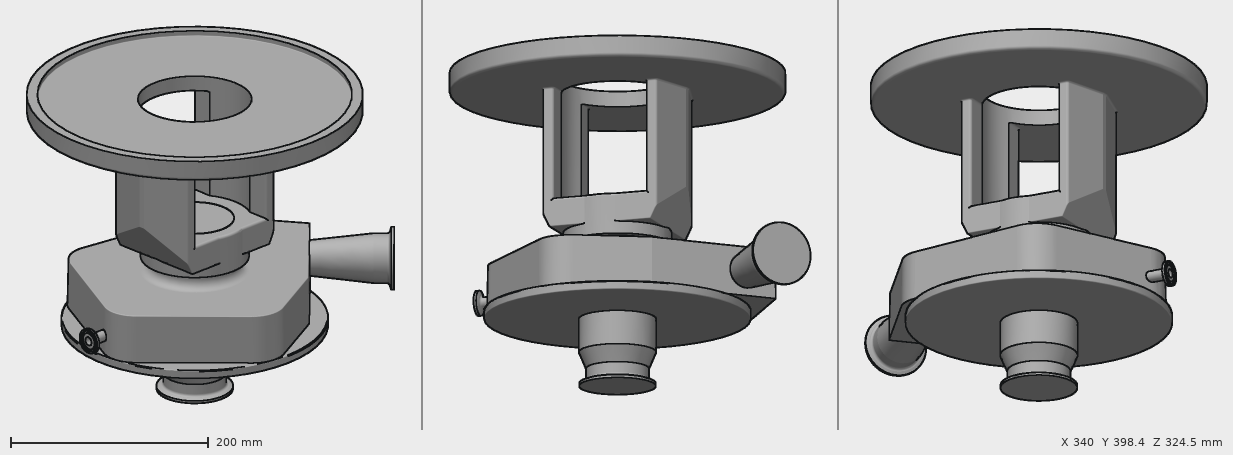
import cadquery as cq
import math

TOTAL_HEIGHT = 324.5
BASE_BOTTOM = 69.5
BASE_TOP = 78.3
HOUSING_TOP = 129.3
COLLAR_BOTTOM = 146.0
YOKE_BOTTOM = 158.5
YOKE_FLOOR = 188.0
DISC_BOTTOM = 303.0

DISC_RADIUS = 170.0
DISH_RADIUS = 159.0
DISH_DEPTH = 5.5
DISH_FILLET = 0.8
DISC_BORE_RADIUS = 57.5
DISC_EDGE_FILLET = 3.5

YOKE_HALF_WIDTH = 52.5
YOKE_SHOULDER_Y = 61.0
YOKE_PEAK_Y = 75.2
YOKE_PEAK_HALF_WIDTH = 3.3
YOKE_EDGE_FILLET = 3.0
YOKE_LOWER_FILLET = 1.0
LEG_ROOT_FILLET = 2.0
WINDOW_HALF_WIDTH = 49.8
WINDOW_FILLET = 3.0
SLOPE_TOP = 200.0
SLOPE_RISE_PER_RUN = 2.0
FLOOR_RECESS_RADIUS = 39.8
FLOOR_RECESS_DEPTH = 0.5
SELECTION_MARGIN = 1.0

COLLAR_RADIUS = 55.0
NECK_RADIUS = 45.0
NECK_FLARE = 10.0

BASE_RADIUS = 135.0
BASE_EDGE_FILLET = 1.0
HOUSING_INRADIUS = 114.0
HOUSING_CORNER_RADIUS = 34.0
HOUSING_DRAFT = 1.0
HOUSING_EDGE_FILLET = 1.0
PENTAGON_STEP = 72.0
FIRST_SIDE_ANGLE = 27.0
OUTLET_ANGLE = 45.0
OUTLET_FACE_DISTANCE = 115.0
OUTLET_WALL_ANGLE = 125.0
OUTLET_WALL_DISTANCE = 140.2

PIPE_RADIUS = 39.2
PIPE_CONE_TOP = 35.0
PIPE_CONE_BOTTOM = 18.0
PIPE_END_RADIUS = 32.0
PIPE_FLANGE_RADIUS = 38.9

NOZZLE_OFFSET = 90.3
NOZZLE_HEIGHT = 104.5
NOZZLE_START_RADIUS = 18.2
NOZZLE_END_RADIUS = 25.4
NOZZLE_CONE_END = 180.0
NOZZLE_FLANGE_RADIUS = 32.0
NOZZLE_TIP = 200.7

DRAIN_HEIGHT = 97.8
DRAIN_TIP = 150.5
DRAIN_START = 110.0
DRAIN_RADIUS = 5.8
DRAIN_FLANGE_RADIUS = 12.9
DRAIN_GROOVE_INNER = 8.7
DRAIN_GROOVE_OUTER = 11.0
DRAIN_GROOVE_DEPTH = 1.0
DRAIN_BORE_RADIUS = 4.4

FLANGE_RIM = 2.9
FLANGE_BACK_ANGLE = 20.0
FLANGE_FILLET = 3.0


def cylinder(radius, bottom, top):
    return cq.Workplane("XY").workplane(offset=bottom).circle(radius).extrude(top - bottom)


def yoke_edges_between(bottom, top):
    """Selector for the edges centred inside the yoke's footprint between two heights."""
    reach_x = YOKE_HALF_WIDTH + SELECTION_MARGIN
    reach_y = YOKE_PEAK_Y + SELECTION_MARGIN
    return cq.selectors.BoxSelector((-reach_x, -reach_y, bottom), (reach_x, reach_y, top))


def side_crossing(first, second):
    """Point where two sides, each a (normal angle, distance from the axis) pair, meet."""
    a1, d1 = math.radians(first[0]), first[1]
    a2, d2 = math.radians(second[0]), second[1]
    det = math.sin(a2 - a1)
    x = (d1 * math.sin(a2) - d2 * math.sin(a1)) / det
    y = (d2 * math.cos(a1) - d1 * math.cos(a2)) / det
    return x, y


def make_disc():
    disc = cylinder(DISC_RADIUS, DISC_BOTTOM, TOTAL_HEIGHT).faces("<Z").edges().fillet(DISC_EDGE_FILLET)
    dish = cylinder(DISH_RADIUS, TOTAL_HEIGHT - DISH_DEPTH, TOTAL_HEIGHT)
    return disc.cut(dish.faces("<Z").edges().fillet(DISH_FILLET))


def make_yoke_block():
    """Solid yoke with pointed sides and sloping lower ends."""
    half = [
        (YOKE_HALF_WIDTH, YOKE_SHOULDER_Y),
        (YOKE_PEAK_HALF_WIDTH, YOKE_PEAK_Y),
    ]
    upper = half + [(-x, y) for x, y in reversed(half)]
    lower = [(-x, -y) for x, y in upper]
    yoke = (
        cq.Workplane("XY").workplane(offset=YOKE_BOTTOM)
        .polyline(upper + lower).close().extrude(DISC_BOTTOM - YOKE_BOTTOM)
    )
    slope_run = (SLOPE_TOP - YOKE_BOTTOM) / SLOPE_RISE_PER_RUN
    for side in (1, -1):
        wedge = (
            cq.Workplane("YZ")
            .polyline([
                (side * YOKE_PEAK_Y, SLOPE_TOP),
                (side * YOKE_PEAK_Y, YOKE_BOTTOM),
                (side * (YOKE_PEAK_Y - slope_run), YOKE_BOTTOM),
            ]).close().extrude(YOKE_HALF_WIDTH, both=True)
        )
        yoke = yoke.cut(wedge)
    leg_middle = (SLOPE_TOP + DISC_BOTTOM) / 2
    for side_x in (1, -1):
        for side_y in (1, -1):
            shoulder = (side_x * YOKE_HALF_WIDTH, side_y * YOKE_SHOULDER_Y, leg_middle)
            yoke = yoke.edges(cq.selectors.NearestToPointSelector(shoulder)).fillet(YOKE_EDGE_FILLET)
    lower_edges = yoke_edges_between(YOKE_BOTTOM - SELECTION_MARGIN, SLOPE_TOP + SELECTION_MARGIN)
    return yoke.edges(lower_edges).fillet(YOKE_LOWER_FILLET)


def make_yoke():
    """Yoke block opened by a window along X, with rounded window edges."""
    window = (
        cq.Workplane("XY").workplane(offset=YOKE_FLOOR)
        .rect(4 * YOKE_HALF_WIDTH, 2 * WINDOW_HALF_WIDTH).extrude(DISC_BOTTOM - YOKE_FLOOR)
    )
    yoke = make_yoke_block().cut(window)
    reach_y = WINDOW_HALF_WIDTH + SELECTION_MARGIN
    for side in (1, -1):
        face_x = side * YOKE_HALF_WIDTH
        rim = cq.selectors.BoxSelector(
            (face_x - SELECTION_MARGIN, -reach_y, YOKE_FLOOR - SELECTION_MARGIN),
            (face_x + SELECTION_MARGIN, reach_y, DISC_BOTTOM - SELECTION_MARGIN),
        )
        yoke = yoke.edges(rim).fillet(WINDOW_FILLET)
    return yoke


def make_upper_frame():
    """Disc on its two legs, blended at the roots and bored down to the yoke floor."""
    roots = yoke_edges_between(DISC_BOTTOM - 0.1 * SELECTION_MARGIN, DISC_BOTTOM + 0.1 * SELECTION_MARGIN)
    frame = make_yoke().union(make_disc()).edges(roots).fillet(LEG_ROOT_FILLET)
    return frame.cut(cylinder(DISC_BORE_RADIUS, YOKE_FLOOR, TOTAL_HEIGHT))


def make_collar_and_neck():
    flare_top = HOUSING_TOP + NECK_FLARE
    bend = NECK_FLARE * (1 - math.sqrt(0.5))
    return (
        cq.Workplane("XZ")
        .moveTo(0, HOUSING_TOP)
        .lineTo(NECK_RADIUS + NECK_FLARE, HOUSING_TOP)
        .threePointArc((NECK_RADIUS + bend, HOUSING_TOP + bend), (NECK_RADIUS, flare_top))
        .lineTo(NECK_RADIUS, COLLAR_BOTTOM)
        .lineTo(COLLAR_RADIUS, COLLAR_BOTTOM)
        .lineTo(COLLAR_RADIUS, YOKE_FLOOR - WINDOW_FILLET)
        .radiusArc((COLLAR_RADIUS - WINDOW_FILLET, YOKE_FLOOR), -WINDOW_FILLET)
        .lineTo(0, YOKE_FLOOR)
        .close().revolve(360, (0, 0, 0), (0, 1, 0))
    )


def make_housing():
    """Drafted pentagon whose one corner is drawn out to carry the outlet."""
    height = HOUSING_TOP - BASE_TOP
    spread = height * math.tan(math.radians(HOUSING_DRAFT))
    inner = HOUSING_INRADIUS + spread
    sides = [
        (FIRST_SIDE_ANGLE, inner),
        (OUTLET_ANGLE, OUTLET_FACE_DISTANCE + spread),
        (OUTLET_WALL_ANGLE, OUTLET_WALL_DISTANCE + spread),
        (FIRST_SIDE_ANGLE + 2 * PENTAGON_STEP, inner),
        (FIRST_SIDE_ANGLE + 3 * PENTAGON_STEP, inner),
        (FIRST_SIDE_ANGLE + 4 * PENTAGON_STEP, inner),
    ]
    corners = [side_crossing(sides[i], sides[(i + 1) % len(sides)]) for i in range(len(sides))]
    housing = (
        cq.Workplane("XY").workplane(offset=BASE_TOP)
        .polyline(corners).close().extrude(height, taper=HOUSING_DRAFT)
    )
    middle = (HOUSING_TOP + BASE_TOP) / 2
    for x, y in corners[2:]:
        corner = cq.selectors.NearestToPointSelector((x, y, middle))
        housing = housing.edges(corner).fillet(HOUSING_CORNER_RADIUS)
    return housing.faces(">Z").edges().fillet(HOUSING_EDGE_FILLET)


def make_base_plate():
    return cylinder(BASE_RADIUS, BASE_BOTTOM, BASE_TOP).faces("<Z or >Z").edges().fillet(BASE_EDGE_FILLET)


def clamp_flange(flange_radius, tube_radius):
    """Clamp flange facing -Z on Z = 0, with a conical back blending into its tube."""
    foot_radius = tube_radius + FLANGE_FILLET
    back_rise = (flange_radius - foot_radius) * math.tan(math.radians(FLANGE_BACK_ANGLE))
    foot = FLANGE_RIM + back_rise
    bend = FLANGE_FILLET * (1 - math.sqrt(0.5))
    return (
        cq.Workplane("XZ")
        .lineTo(flange_radius, 0)
        .lineTo(flange_radius, FLANGE_RIM)
        .lineTo(foot_radius, foot)
        .threePointArc((tube_radius + bend, foot + bend), (tube_radius, foot + FLANGE_FILLET))
        .lineTo(0, foot + FLANGE_FILLET)
        .close().revolve(360, (0, 0, 0), (0, 1, 0))
    )


def make_bottom_pipe():
    pipe = (
        cq.Workplane("XZ")
        .polyline([
            (0, 0),
            (PIPE_END_RADIUS, 0),
            (PIPE_END_RADIUS, PIPE_CONE_BOTTOM),
            (PIPE_RADIUS, PIPE_CONE_TOP),
            (PIPE_RADIUS, BASE_BOTTOM),
            (0, BASE_BOTTOM),
        ]).close().revolve(360, (0, 0, 0), (0, 1, 0))
    )
    return pipe.union(clamp_flange(PIPE_FLANGE_RADIUS, PIPE_END_RADIUS))


def make_nozzle():
    """Nozzle built standing on its clamp flange, then laid down along the outlet direction."""
    root = NOZZLE_TIP - OUTLET_FACE_DISTANCE
    nozzle = (
        cq.Workplane("XZ")
        .polyline([
            (0, 0),
            (NOZZLE_END_RADIUS, 0),
            (NOZZLE_END_RADIUS, NOZZLE_TIP - NOZZLE_CONE_END),
            (NOZZLE_START_RADIUS, root),
            (0, root),
        ]).close().revolve(360, (0, 0, 0), (0, 1, 0))
        .union(clamp_flange(NOZZLE_FLANGE_RADIUS, NOZZLE_END_RADIUS))
    )
    return (
        nozzle.rotate((0, 0, 0), (0, 1, 0), -90)
        .translate((NOZZLE_TIP, NOZZLE_OFFSET, NOZZLE_HEIGHT))
        .rotate((0, 0, 0), (0, 0, 1), OUTLET_ANGLE)
    )


def make_drain():
    """Hollow drain tube that stops on the housing wall, with a gasket groove in its flange."""
    length = DRAIN_TIP - DRAIN_START
    groove = cylinder(DRAIN_GROOVE_OUTER, 0, DRAIN_GROOVE_DEPTH).cut(
        cylinder(DRAIN_GROOVE_INNER, 0, DRAIN_GROOVE_DEPTH)
    )
    drain = (
        cylinder(DRAIN_RADIUS, 0, length)
        .union(clamp_flange(DRAIN_FLANGE_RADIUS, DRAIN_RADIUS))
        .cut(cylinder(DRAIN_BORE_RADIUS, 0, length))
        .cut(groove)
    )
    return drain.rotate((0, 0, 0), (1, 0, 0), -90).translate((0, -DRAIN_TIP, DRAIN_HEIGHT))


result = (
    make_upper_frame()
    .union(make_collar_and_neck())
    .union(make_housing())
    .union(make_base_plate())
    .union(make_bottom_pipe())
    .union(make_nozzle())
    .union(make_drain())
    .cut(cylinder(FLOOR_RECESS_RADIUS, YOKE_FLOOR - FLOOR_RECESS_DEPTH, YOKE_FLOOR))
)